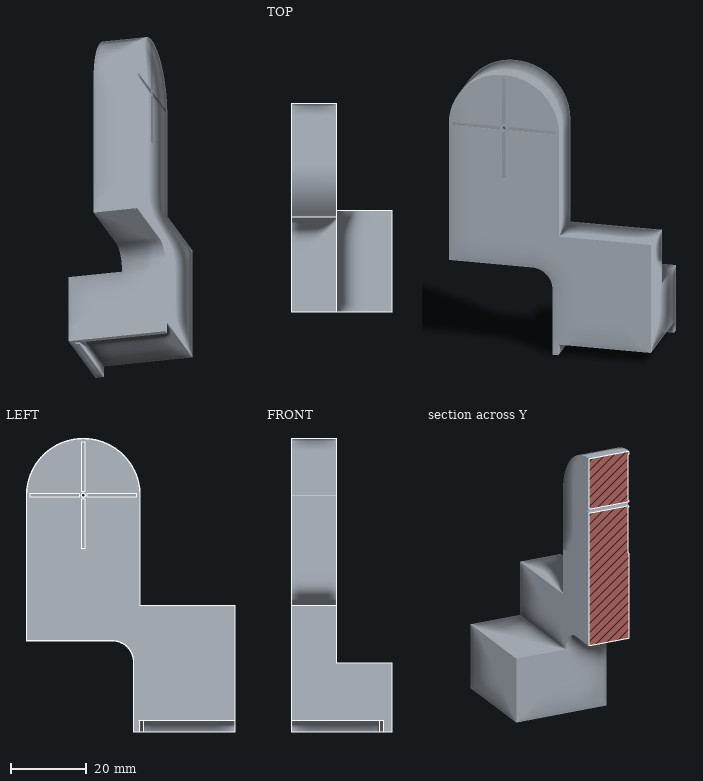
import cadquery as cq

arm_thickness = 11.9
arm_width = 30.0
arm_radius = arm_width / 2
arm_start_y = 25.0
arm_end_y = arm_start_y + arm_width
arm_center_y = arm_start_y + arm_radius
arm_bottom_z = 24.0
total_height = 77.34
arm_center_z = total_height - arm_radius

base_length_x = 26.5
base_width_y = 26.8
base_height = 33.34
step_height = 18.2
neck_fillet = 5.5

recess_depth = 3.0
lip_thickness_x = 2.3
lip_thickness_y = 1.6
corner_relief_radius = 1.0

sight_hole_diameter = 1.0
slot_width = 1.0
slot_depth = 0.2
slot_inner_radius = 1.0
slot_edge_margin = 1.0
slot_outer_radius = arm_radius - slot_edge_margin


def make_plate():
    """Arm and front of the base as one profile in the YZ plane."""
    return (
        cq.Workplane("YZ")
        .moveTo(0, 0)
        .lineTo(base_width_y, 0)
        .lineTo(base_width_y, arm_bottom_z - neck_fillet)
        .radiusArc((base_width_y + neck_fillet, arm_bottom_z), neck_fillet)
        .lineTo(arm_end_y, arm_bottom_z)
        .lineTo(arm_end_y, arm_center_z)
        .threePointArc((arm_center_y, total_height), (arm_start_y, arm_center_z))
        .lineTo(arm_start_y, base_height)
        .lineTo(0, base_height)
        .close()
        .extrude(arm_thickness)
    )


def make_base():
    """Low block that carries the lips and extends behind the plate."""
    return cq.Workplane("XY").box(base_length_x, base_width_y, step_height, centered=False)


def make_recess():
    """Pocket open at the bottom, -X and -Y sides, with a round relief centered on its inner corner."""
    length_x = base_length_x - lip_thickness_x
    width_y = base_width_y - lip_thickness_y
    pocket = cq.Workplane("XY").box(length_x, width_y, recess_depth, centered=False)
    relief = cq.Workplane("XY").center(length_x, width_y).circle(corner_relief_radius).extrude(recess_depth)
    return pocket.union(relief)


def make_crosshair():
    """Four radial slots, 90 degrees apart, and the sight hole at their center."""
    slot_length = slot_outer_radius - slot_inner_radius
    slot_middle = (slot_outer_radius + slot_inner_radius) / 2
    face = cq.Workplane("YZ").center(arm_center_y, arm_center_z)
    cutter = face.circle(sight_hole_diameter / 2).extrude(arm_thickness)
    for direction in (-1, 1):
        offset = direction * slot_middle
        cutter = cutter.union(face.center(offset, 0).rect(slot_length, slot_width).extrude(slot_depth))
        cutter = cutter.union(face.center(0, offset).rect(slot_width, slot_length).extrude(slot_depth))
    return cutter


result = make_plate().union(make_base()).cut(make_recess()).cut(make_crosshair())